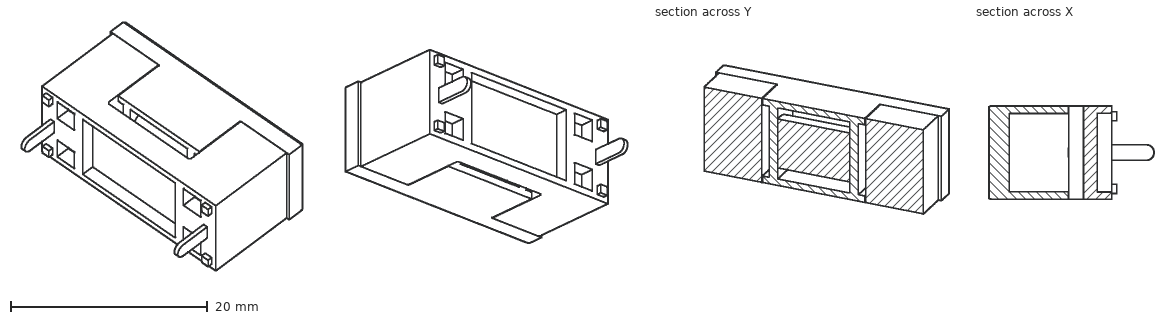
import cadquery as cq
import math

HEIGHT = 9.5
HOUSING_WIDTH = 24.5
HOUSING_DEPTH = 10.4
COVER_WIDTH = 25.2
COVER_THICKNESS = 2.1
COVER_BEVEL_DEPTH = 0.2
COVER_BEVEL_INSET = 0.093

WINDOW_WIDTH = 11.6
WINDOW_FLOOR = 2.9
WINDOW_RADIUS = 0.25

TONGUE_GAP = 0.08
TONGUE_TIP = 4.38
TONGUE_THICKNESS = 0.78
RIB_WIDTH = 1.0
RIB_SPACING = 8.01

FUSE_RADIUS = 2.82
FUSE_AXIS_Y = 7.23

POCKET_MARGIN = 0.75
RECESS_WIDTH = 13.0
RECESS_DEPTH = 1.45
SQUARE_SIZE = 2.42
SQUARE_SPACING = 17.8
SQUARE_DEPTH = 1.65

FOOT_WIDTH = 0.9
FOOT_HEIGHT = 0.95
FOOT_LENGTH = 0.53
FOOT_SPACING_X = 22.43
FOOT_SPACING_Z = 7.38

PIN_THICKNESS = 0.5
PIN_WIDTH = 1.61
PIN_LENGTH = 4.3
PIN_SPACING = 21.57


def block(width, height, y_start, y_end, x=0, z=0):
    """Box centred on (x, z) that runs from y_start to y_end."""
    return cq.Workplane("XY").box(width, y_end - y_start, height).translate((x, (y_start + y_end) / 2, z))


def corners(spacing_x, spacing_z):
    """Four points placed symmetrically about the origin of the XZ plane."""
    return [(x * spacing_x / 2, z * spacing_z / 2) for x in (-1, 1) for z in (-1, 1)]


def make_housing():
    housing = block(HOUSING_WIDTH, HEIGHT, 0, HOUSING_DEPTH)

    window = block(WINDOW_WIDTH, HEIGHT, WINDOW_FLOOR, HOUSING_DEPTH)
    housing = housing.cut(window.edges("|Z").edges("<Y").fillet(WINDOW_RADIUS))

    recess_height = HEIGHT - 2 * POCKET_MARGIN
    housing = housing.cut(block(RECESS_WIDTH, recess_height, 0, RECESS_DEPTH))
    for x, z in corners(SQUARE_SPACING, recess_height - SQUARE_SIZE):
        housing = housing.cut(block(SQUARE_SIZE, SQUARE_SIZE, 0, SQUARE_DEPTH, x, z))

    for x, z in corners(FOOT_SPACING_X, FOOT_SPACING_Z):
        housing = housing.union(block(FOOT_WIDTH, FOOT_HEIGHT, -FOOT_LENGTH, 0, x, z))
    return housing


def make_cover():
    bevel_start = HOUSING_DEPTH + COVER_THICKNESS - COVER_BEVEL_DEPTH
    bevel_angle = math.degrees(math.atan2(COVER_BEVEL_INSET, COVER_BEVEL_DEPTH))
    bevel = (
        cq.Workplane("XZ", origin=(0, bevel_start, 0))
        .rect(COVER_WIDTH, HEIGHT)
        .extrude(-COVER_BEVEL_DEPTH, taper=bevel_angle)
    )
    cover = block(COVER_WIDTH, HEIGHT, HOUSING_DEPTH, bevel_start).union(bevel)

    tongue_width = WINDOW_WIDTH - 2 * TONGUE_GAP
    tongue_z = (HEIGHT - TONGUE_THICKNESS) / 2
    rib_x = (RIB_SPACING + RIB_WIDTH) / 2
    for side in (-1, 1):
        tongue = block(tongue_width, TONGUE_THICKNESS, TONGUE_TIP, HOUSING_DEPTH, z=side * tongue_z)
        rib = block(RIB_WIDTH, HEIGHT - TONGUE_THICKNESS, TONGUE_TIP, HOUSING_DEPTH, x=side * rib_x)
        cover = cover.union(tongue).union(rib)
    return cover


def make_fuse():
    """Cylinder along X whose ends rest against the ribs."""
    return (
        cq.Workplane("YZ", origin=(-RIB_SPACING / 2, FUSE_AXIS_Y, 0))
        .circle(FUSE_RADIUS)
        .extrude(RIB_SPACING)
    )


def make_pin(x):
    """Flat pin with a fully rounded tip, standing on the pin-side face."""
    half_width = PIN_WIDTH / 2
    shoulder = half_width - PIN_LENGTH
    return (
        cq.Workplane("YZ", origin=(x - PIN_THICKNESS / 2, 0, 0))
        .moveTo(0, half_width)
        .lineTo(shoulder, half_width)
        .threePointArc((-PIN_LENGTH, 0), (shoulder, -half_width))
        .lineTo(0, -half_width)
        .close()
        .extrude(PIN_THICKNESS)
    )


housing = make_housing()
cover = make_cover()
fuse = make_fuse()
pins = [make_pin(side * PIN_SPACING / 2) for side in (-1, 1)]

result = cq.Compound.makeCompound(
    [housing.val(), cover.val(), fuse.val(), *[pin.val() for pin in pins]]
)